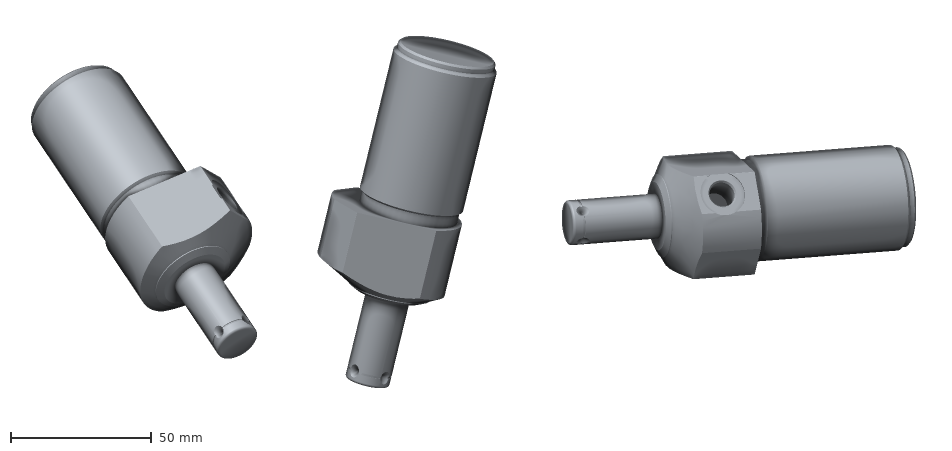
import cadquery as cq
import math

nose_chamfer = 0.75
nose_length = 2.4
thread_end = 55.3
undercut_start = 56.1
head_start = 60.2
gland_start = 89.5
gland_land_end = 89.8
rod_start = 91.2
groove_start = 119.55
groove_width = 0.75
total_length = 124.0

thread_radius = 18.85
nose_radius = 17.8
gland_radius = 14.9
gland_face_radius = 12.2
rod_radius = 8.0
groove_depth = 0.3
rod_end_round = 1.0

head_radius = 47.62 / 2
head_offset = 4.25
head_half_height = 37.85 / 2
head_cone_angle = 30.0

port_angle = 35.0
port_face_distance = 22.72
port_x = 73.15
spotface_diameter = 16.2
spotface_depth = 0.4
port_diameter = 9.1
port_depth = 12.0
port_chamfer_diameter = 10.2
port_chamfer_depth = 0.75

dimple_count = 4
dimple_x = 119.9
dimple_diameter = 4.7
dimple_cone_angle = 90.0


def revolve_profile(points):
    """Revolve a closed (x, radius) outline about the X axis."""
    outline = cq.Workplane("XY").polyline(points).close()
    return outline.revolve(360, (0, 0, 0), (1, 0, 0))


def make_barrel():
    thread_start = nose_length + thread_radius - nose_radius
    return revolve_profile([
        (0, 0),
        (0, nose_radius - nose_chamfer),
        (nose_chamfer, nose_radius),
        (nose_length, nose_radius),
        (thread_start, thread_radius),
        (thread_end, thread_radius),
        (undercut_start, nose_radius),
        (head_start, nose_radius),
        (head_start, 0),
    ])


def make_head():
    length = rod_start - head_start
    head = (
        cq.Workplane("YZ", origin=(head_start, head_offset, 0))
        .circle(head_radius)
        .extrude(length)
    )
    flats = cq.Workplane("XY").box(
        length, 4 * head_radius, 2 * head_half_height, centered=(False, True, True)
    )
    head = head.intersect(flats.translate((head_start, 0, 0)))
    for side in (1, -1):
        head = head.cut(make_slope_cutter(side, length))

    widest_radius = head_radius + head_offset
    cone_length = (widest_radius - gland_radius) * math.tan(math.radians(head_cone_angle))
    end_envelope = revolve_profile([
        (head_start, 0),
        (head_start, widest_radius),
        (gland_start - cone_length, widest_radius),
        (gland_start, gland_radius),
        (gland_land_end, gland_radius),
        (rod_start, gland_face_radius),
        (rod_start, 0),
    ])
    return head.intersect(end_envelope)


def make_slope_cutter(side, length):
    """Block lying outside one of the two sloped faces (side = +1 upper, -1 lower)."""
    block = cq.Workplane("XY").box(length, head_radius, 2 * head_radius, centered=(False, False, True))
    block = block.translate((head_start, port_face_distance, 0))
    block = block.rotate((0, 0, 0), (1, 0, 0), side * port_angle)
    return block.translate((0, head_offset, 0))


def make_rod():
    groove_end = groove_start + groove_width
    rod = revolve_profile([
        (rod_start, 0),
        (rod_start, rod_radius),
        (groove_start, rod_radius),
        (groove_start, rod_radius - groove_depth),
        (groove_end, rod_radius - groove_depth),
        (groove_end, rod_radius),
        (total_length, rod_radius),
        (total_length, 0),
    ])
    return rod.faces(">X").edges().fillet(rod_end_round)


def make_port_cutter():
    tilt = math.radians(port_angle)
    axis = cq.Vector(0, math.cos(tilt), math.sin(tilt))
    head_centre = cq.Vector(port_x, head_offset, 0)

    floor_distance = port_face_distance - spotface_depth
    floor = head_centre + axis * floor_distance
    spotface = cq.Solid.makeCylinder(spotface_diameter / 2, head_radius - floor_distance, floor, axis)
    bore = cq.Solid.makeCylinder(port_diameter / 2, port_depth, floor, axis * -1)
    chamfer = cq.Solid.makeCone(
        port_chamfer_diameter / 2, port_diameter / 2, port_chamfer_depth, floor, axis * -1
    )
    return cq.Workplane(spotface).union(cq.Workplane(bore)).union(cq.Workplane(chamfer))


def make_dimple_cutter(angle):
    """Cone with its rim at the rod surface, pointing at the rod axis (angle in degrees from +Y)."""
    rim_radius = dimple_diameter / 2
    depth = rim_radius / math.tan(math.radians(dimple_cone_angle / 2))
    half_section = cq.Workplane("XY").polyline([
        (dimple_x, rod_radius - depth),
        (dimple_x + rim_radius, rod_radius),
        (dimple_x, rod_radius),
    ]).close()
    cone = half_section.revolve(360, (dimple_x, 0, 0), (dimple_x, 1, 0))
    return cone.rotate((0, 0, 0), (1, 0, 0), angle)


result = make_barrel().union(make_head()).union(make_rod())
result = result.cut(make_port_cutter())
for index in range(dimple_count):
    dimple_angle = 360 * (index + 0.5) / dimple_count
    result = result.cut(make_dimple_cutter(dimple_angle))